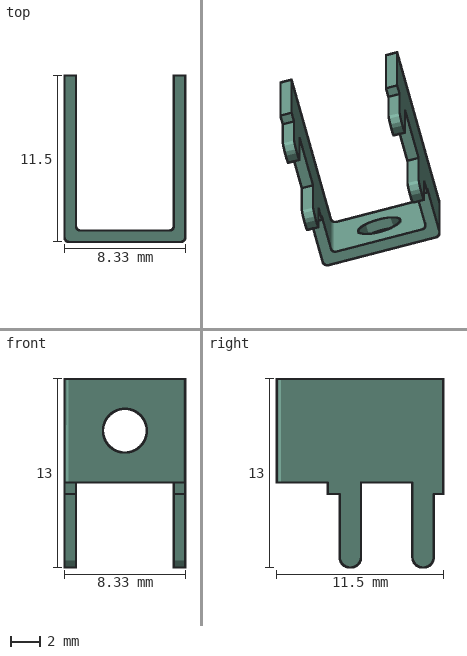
import cadquery as cq

width = 8.33
depth = 11.48
height = 13.0

sheet = 0.8
outer_bend_radius = 0.35
inner_bend_radius = 0.3
wall_height = 7.14
hole_diameter = 3.0

leg_width = 1.5
leg_pitch = 5.0
rear_leg_y = 10.09
front_leg_y = rear_leg_y - leg_pitch
shoulder_drop = 0.8
shoulder_front_y = 3.51

wall_bottom = height - wall_height
shoulder_bottom = wall_bottom - shoulder_drop
leg_radius = leg_width / 2


def make_block(block_width, front_y, bend_radius):
    """Block from front_y to the rear, with its two front vertical edges rounded."""
    return (
        cq.Workplane("XY", origin=(0, front_y, wall_bottom))
        .rect(block_width, depth - front_y, centered=(True, False))
        .extrude(wall_height)
        .edges("|Z and <Y")
        .fillet(bend_radius)
    )


def make_channel():
    """U-shaped wall, open at the rear, with rounded bends at the front."""
    outer = make_block(width, 0, outer_bend_radius)
    inner = make_block(width - 2 * sheet, sheet, inner_bend_radius)
    return outer.cut(inner)


def make_hole():
    """Round hole through the middle of the front wall."""
    return (
        cq.Workplane("XZ", origin=(0, sheet, wall_bottom + wall_height / 2))
        .circle(hole_diameter / 2)
        .extrude(sheet)
    )


def make_side_plate(start_y, end_y, bottom_z, left_x):
    """Flat extension of a side wall, from the wall's lower edge down to bottom_z."""
    return (
        cq.Workplane("XY")
        .box(sheet, end_y - start_y, wall_bottom - bottom_z, centered=False)
        .translate((left_x, start_y, bottom_z))
    )


def make_leg(center_y, left_x):
    """Straight leg with a fully rounded tip."""
    start_y = center_y - leg_radius
    end_y = center_y + leg_radius
    shank = make_side_plate(start_y, end_y, leg_radius, left_x)
    tip = (
        cq.Workplane("YZ", origin=(left_x, center_y, leg_radius))
        .circle(leg_radius)
        .extrude(sheet)
    )
    return shank.union(tip)


result = make_channel().cut(make_hole())
for left_x in (-width / 2, width / 2 - sheet):
    front_shoulder = make_side_plate(shoulder_front_y, front_leg_y, shoulder_bottom, left_x)
    rear_shoulder = make_side_plate(rear_leg_y, depth, shoulder_bottom, left_x)
    result = result.union(front_shoulder).union(rear_shoulder)
    for leg_y in (front_leg_y, rear_leg_y):
        result = result.union(make_leg(leg_y, left_x))
result = result.clean()